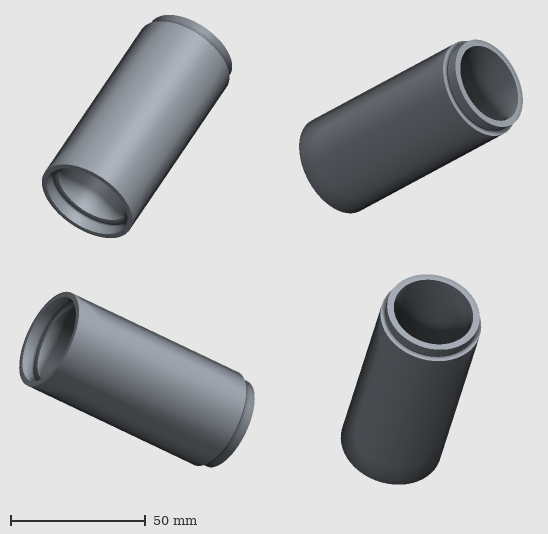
import cadquery as cq

body_diameter = 38.1
body_length = 76.2
bore_diameter = 30.0

rim_diameter = 35.0
rim_length = 4.0
neck_diameter = 34.0
neck_length = 1.0

socket_diameter = 34.0
socket_depth = 5.5
relief_diameter = 35.2
relief_width = 1.0

neck_end = body_length + neck_length
total_length = neck_end + rim_length


def cylinder(diameter, y_start, y_end):
    """Solid cylinder on the Y axis between two stations."""
    length = y_end - y_start
    axis = cq.Vector(0, 1, 0)
    return cq.Workplane(cq.Solid.makeCylinder(diameter / 2, length, cq.Vector(0, y_start, 0), axis))


def make_outside():
    """Tube body with the stepped spigot, before hollowing."""
    body = cylinder(body_diameter, 0, body_length)
    neck = cylinder(neck_diameter, body_length, neck_end)
    rim = cylinder(rim_diameter, neck_end, total_length)
    return body.union(neck).union(rim)


def make_inside():
    """Through bore, socket and relief groove as one cutting shape."""
    bore = cylinder(bore_diameter, 0, total_length)
    socket = cylinder(socket_diameter, 0, socket_depth)
    relief = cylinder(relief_diameter, socket_depth - relief_width, socket_depth)
    return bore.union(socket).union(relief)


result = make_outside().cut(make_inside())